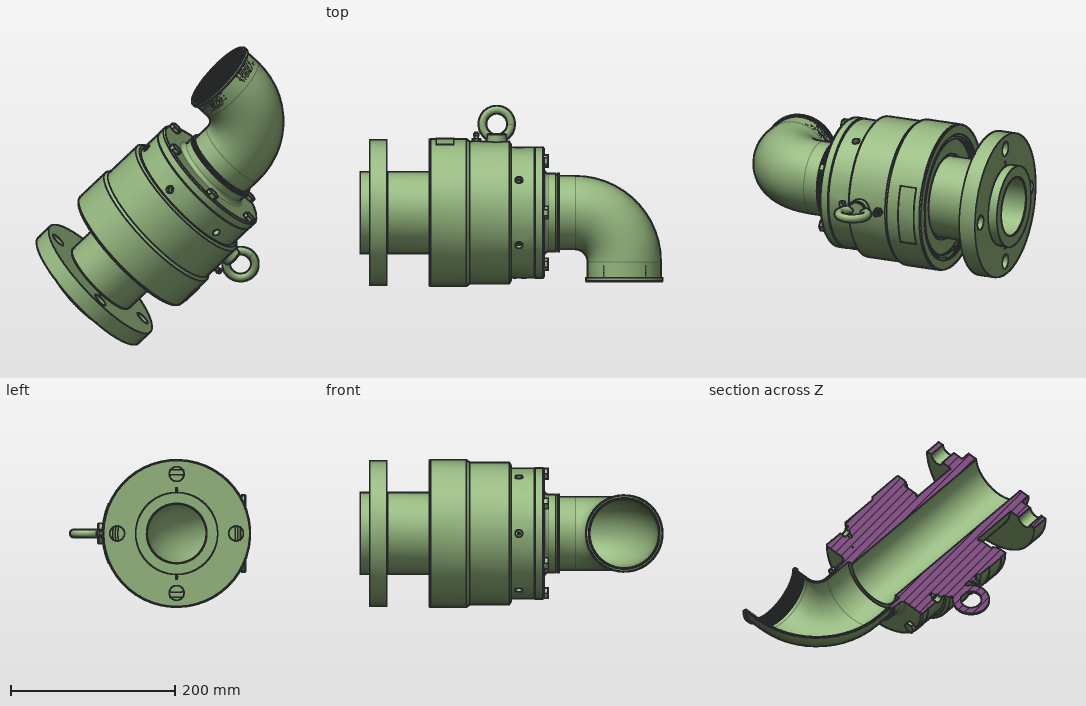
import cadquery as cq
import math

shaft_radius = 50.0
bore_diameter = 72.0
bore_chamfer = 0.8
flange_radius = 89.0
flange_start = 11.5
flange_thickness = 21.0
bolt_hole_diameter = 18.0
bolt_hole_circle_radius = 72.5
bolt_hole_count = 4
slot_width = 2.0
slot_outer_radius = 56.0
shaft_groove_width = 1.0
shaft_groove_depth = 0.5

housing_start = 84.0
large_radius = 90.0
large_end = 129.5
large_shoulder_length = 3.8
middle_radius = 86.9
middle_end = 184.0
rear_radius = 79.75
front_chamfer_length = 2.0
front_chamfer_height = 0.8
shoulder_chamfer_length = 2.5
shoulder_chamfer_height = 4.0

recess_radius = 78.0
recess_depth = 6.0
seal_cover_radius = 71.75
seal_cover_inset = 3.0
ring_inner_radius = 74.75
ring_inset = 1.0
ring_gap_width = 26.0
ring_hole_diameter = 2.5
ring_hole_angle = 18.0
ring_hole_spread = 4.5
shaft_gap_radius = 53.0
shaft_gap_depth = 2.0

cover_start = 212.5
cover_end = 224.5
cover_radius = 80.0
cover_chamfer = 2.0
cover_seam = 0.8
head_across_flats = 13.0
head_height = 4.7
screw_circle_radius = 72.75
screw_count = 6

drain_diameter = 9.0
drain_depth = 8.0
drain_pilot_diameter = 3.0
drain_pilot_depth = 14.0
drain_x = 193.5
drain_count = 6

neck_fillet = 5.0
neck_radius = 47.75
neck_end = 243.0
neck_groove_start = 238.5
neck_groove_width = 2.5
neck_groove_depth = 1.0
pipe_radius = 45.0
elbow_bore_radius = 42.0
elbow_start = 262.0
bend_radius = 60.0
outlet_end = 84.0
lip_radius = 47.0
lip_thickness = 4.5
lip_chamfer = 0.8
thread_pitch = 2.309
thread_depth = 1.5
thread_count = 8

eye_x = 166.5
eye_base_y = 85.49
eye_total_height = 45.0
eye_outer_radius = 22.5
eye_wire_radius = 5.0
collar_radius = 12.5
collar_height = 11.0
collar_chamfer = 1.5

nipple_x = 141.6
nipple_height = 98.0
nipple_hex_across_flats = 9.0
nipple_hex_height = 3.0
nipple_stem_diameter = 5.0
nipple_head_diameter = 6.5
nipple_head_height = 2.5
nipple_tip_diameter = 4.0
nipple_tip_height = 1.5

plate_x = 93.0
plate_length = 21.0
plate_thickness = 0.8
plate_half_angle = 23.5

hexagon_sides = 6
embed = 5.0


def cylinder_x(start, length, radius):
    """Solid cylinder on the X axis."""
    return cq.Workplane("YZ").workplane(offset=start).circle(radius).extrude(length)


def tube_x(start, length, outer_radius, inner_radius):
    """Hollow cylinder on the X axis."""
    return (
        cq.Workplane("YZ").workplane(offset=start)
        .circle(outer_radius).circle(inner_radius).extrude(length)
    )


def cylinder_y(x, start, end, diameter):
    """Solid cylinder pointing along +Y at z = 0."""
    return cq.Workplane("XZ", origin=(x, start, 0)).circle(diameter / 2).extrude(start - end)


def hexagon_corner_diameter(across_flats):
    return across_flats / math.cos(math.pi / hexagon_sides)


def make_shaft():
    flange_end = flange_start + flange_thickness
    shaft = cylinder_x(0, housing_start + recess_depth + embed, shaft_radius)
    groove = tube_x(
        flange_end, shaft_groove_width, shaft_radius + embed, shaft_radius - shaft_groove_depth
    )
    flange = cylinder_x(flange_start, flange_thickness, flange_radius)
    holes = (
        cq.Workplane("YZ").workplane(offset=flange_start)
        .polarArray(bolt_hole_circle_radius, 0, 360, bolt_hole_count)
        .circle(bolt_hole_diameter / 2).extrude(flange_thickness)
    )
    slots = (
        cq.Workplane("YZ").workplane(offset=flange_start)
        .rect(slot_width, 2 * slot_outer_radius).extrude(flange_thickness)
    )
    return flange.cut(holes).cut(slots).union(shaft.cut(groove))


def make_housing():
    outline = [
        (housing_start, 0),
        (housing_start, large_radius - front_chamfer_height),
        (housing_start + front_chamfer_length, large_radius),
        (large_end, large_radius),
        (large_end + large_shoulder_length, middle_radius),
        (middle_end - shoulder_chamfer_length, middle_radius),
        (middle_end, middle_radius - shoulder_chamfer_height),
        (middle_end, rear_radius),
        (cover_start, rear_radius),
        (cover_start, rear_radius - cover_seam),
        (cover_start + cover_seam, cover_radius),
        (cover_end - cover_chamfer, cover_radius),
        (cover_end, cover_radius - cover_chamfer),
        (cover_end, 0),
    ]
    body = cq.Workplane("XY").polyline(outline).close().revolve(360, (0, 0, 0), (1, 0, 0))
    body = body.cut(cylinder_x(housing_start, recess_depth, recess_radius))
    recess_floor = housing_start + recess_depth
    body = body.cut(tube_x(recess_floor, shaft_gap_depth, shaft_gap_radius, shaft_radius))
    drain = cylinder_y(drain_x, rear_radius - drain_depth, cover_radius, drain_diameter)
    pilot = cylinder_y(drain_x, rear_radius - drain_pilot_depth, rear_radius, drain_pilot_diameter)
    drain = drain.union(pilot)
    for index in range(drain_count):
        body = body.cut(drain.rotate((0, 0, 0), (1, 0, 0), index * 360 / drain_count))
    return body


def make_recess_rings():
    """Ledge around the seal cover and the split retaining ring in front of it."""
    recess_floor = housing_start + recess_depth
    ledge_start = housing_start + seal_cover_inset
    ledge = tube_x(ledge_start, recess_floor - ledge_start, recess_radius, seal_cover_radius)
    ring_start = housing_start + ring_inset
    ring_thickness = ledge_start - ring_start
    ring = tube_x(ring_start, ring_thickness, recess_radius, ring_inner_radius)
    plane = cq.Workplane("YZ").workplane(offset=ring_start)
    ring = ring.cut(plane.rect(ring_gap_width, 2 * recess_radius).extrude(ring_thickness))
    hole_circle_radius = (recess_radius + ring_inner_radius) / 2
    for half_turn in (0, 180):
        for side in (-1, 1):
            angle = math.radians(90 - ring_hole_angle + half_turn + side * ring_hole_spread)
            hole = plane.center(
                hole_circle_radius * math.cos(angle), hole_circle_radius * math.sin(angle)
            )
            ring = ring.cut(hole.circle(ring_hole_diameter / 2).extrude(ring_thickness))
    return ledge.union(ring)


def make_cover_screws():
    heads = cq.Workplane("YZ").workplane(offset=cover_end - embed)
    corner_diameter = hexagon_corner_diameter(head_across_flats)
    positions = [
        (
            screw_circle_radius * math.sin(2 * math.pi * index / screw_count),
            screw_circle_radius * math.cos(2 * math.pi * index / screw_count),
        )
        for index in range(screw_count)
    ]
    return heads.pushPoints(positions).polygon(hexagon_sides, corner_diameter).extrude(embed + head_height)


def make_neck():
    groove_floor = neck_radius - neck_groove_depth
    groove_end = neck_groove_start + neck_groove_width
    arc_inset = neck_fillet * (1 - math.cos(math.pi / 4))
    outline = (
        cq.Workplane("XY").moveTo(cover_end, 0)
        .lineTo(cover_end, neck_radius + neck_fillet)
        .threePointArc(
            (cover_end + arc_inset, neck_radius + arc_inset),
            (cover_end + neck_fillet, neck_radius),
        )
        .lineTo(neck_groove_start, neck_radius)
        .lineTo(neck_groove_start, groove_floor)
        .lineTo(groove_end, groove_floor)
        .lineTo(groove_end, neck_radius)
        .lineTo(neck_end, neck_radius)
        .lineTo(neck_end, 0)
        .close()
    )
    return outline.revolve(360, (0, 0, 0), (1, 0, 0))


def elbow_run(start, end_y, radius):
    """Round bar from x = start through the 90 degree bend, ending at y = -end_y."""
    straight = cylinder_x(start, elbow_start - start, radius)
    bend = (
        cq.Workplane("YZ").workplane(offset=elbow_start).circle(radius)
        .revolve(90, (-bend_radius, 1, 0), (-bend_radius, 0, 0))
    )
    outlet = (
        cq.Workplane("XZ", origin=(elbow_start + bend_radius, -bend_radius, 0))
        .circle(radius).extrude(end_y - bend_radius)
    )
    return straight.union(bend).union(outlet)


def make_outlet_lip():
    return (
        cq.Workplane("XZ", origin=(elbow_start + bend_radius, lip_thickness - outlet_end, 0))
        .circle(lip_radius).extrude(lip_thickness)
        .faces("<Y").edges().chamfer(lip_chamfer)
    )


def make_outlet_thread():
    """V-shaped thread grooves, one ring per pitch, counted inwards from the outlet face."""
    axis_x = elbow_start + bend_radius
    crest_x = axis_x + elbow_bore_radius
    outline = cq.Workplane("XY").moveTo(axis_x, -outlet_end).lineTo(crest_x + thread_depth, -outlet_end)
    for index in range(thread_count):
        start_y = index * thread_pitch - outlet_end
        outline = outline.lineTo(crest_x, start_y + thread_pitch / 2)
        outline = outline.lineTo(crest_x + thread_depth, start_y + thread_pitch)
    end_y = thread_count * thread_pitch - outlet_end
    outline = outline.lineTo(crest_x, end_y + thread_pitch / 2).lineTo(axis_x, end_y + thread_pitch / 2)
    return outline.close().revolve(360, (axis_x, 0, 0), (axis_x, 1, 0))


def make_lifting_eye():
    ring_centre_y = eye_base_y + eye_total_height - eye_outer_radius
    mean_radius = eye_outer_radius - eye_wire_radius
    ring = cq.Workplane(
        cq.Solid.makeTorus(
            mean_radius, eye_wire_radius, cq.Vector(eye_x, ring_centre_y, 0), cq.Vector(0, 0, 1)
        )
    )
    collar_top = eye_base_y + collar_height
    collar = cylinder_y(eye_x, eye_base_y - embed, collar_top, 2 * collar_radius)
    collar = collar.faces(">Y").edges().chamfer(collar_chamfer)
    return ring.union(collar)


def make_grease_nipple():
    hex_top = middle_radius + nipple_hex_height
    tip_start = nipple_height - nipple_tip_height
    head_start = tip_start - nipple_head_height
    corner_diameter = hexagon_corner_diameter(nipple_hex_across_flats)
    base = (
        cq.Workplane("XZ", origin=(nipple_x, hex_top, 0))
        .polygon(hexagon_sides, corner_diameter).extrude(nipple_hex_height + embed)
    )
    stem = cylinder_y(nipple_x, hex_top, head_start, nipple_stem_diameter)
    head = cylinder_y(nipple_x, head_start, tip_start, nipple_head_diameter)
    tip = cylinder_y(nipple_x, tip_start, nipple_height, nipple_tip_diameter)
    return base.union(stem).union(head).union(tip)


def make_name_plate():
    """Thin plate following the housing, centred on +Y."""
    return (
        cq.Workplane("XY")
        .moveTo(plate_x, large_radius - embed)
        .rect(plate_length, plate_thickness + embed, centered=False)
        .revolve(2 * plate_half_angle, (0, 0, 0), (1, 0, 0))
        .rotate((0, 0, 0), (1, 0, 0), -plate_half_angle)
    )


def make_bore():
    """Clear passage through the shaft and the elbow."""
    bore = cylinder_x(0, cover_end, bore_diameter / 2)
    entry = cq.Workplane(
        cq.Solid.makeCone(
            bore_diameter / 2 + bore_chamfer, bore_diameter / 2, bore_chamfer,
            cq.Vector(0, 0, 0), cq.Vector(1, 0, 0),
        )
    )
    return bore.union(entry).union(elbow_run(cover_end, outlet_end, elbow_bore_radius))


result = (
    make_housing()
    .union(make_recess_rings())
    .union(make_shaft())
    .union(make_cover_screws())
    .union(make_neck())
    .union(elbow_run(cover_end, outlet_end, pipe_radius))
    .union(make_outlet_lip())
    .union(make_lifting_eye())
    .union(make_grease_nipple())
    .union(make_name_plate())
    .cut(make_bore())
    .cut(make_outlet_thread())
)